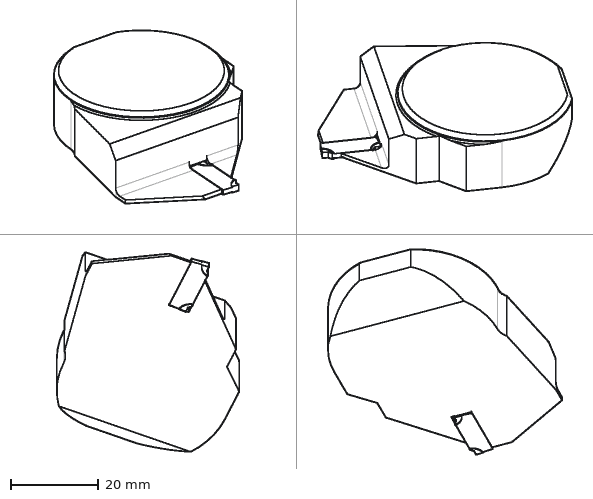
import cadquery as cq
import math

drum_radius = 20.05
drum_height = 14.0
cap_radius = 20.0
cap_base = 12.9
flat_x = -19.05
top_chamfer = 1.0
underside_chamfer = 7.5
collar_radius = 0.4

block_top = 12.35
bevel_start_x = 21.25
bevel_drop = 2.8
wall_x = 24.35
cove_radius = 1.5
plate_top = 0.95
plate_end_x = 37.3
plate_end_relief = 0.3

shoulder_y = 14.75
shoulder_end_x = 18.9
slant_end_x = 33.75
plate_corner_y = -9.05
front_y = -24.95
front_end_x = 28.15
neck_x = 3.15
neck_radius = 4.9

blade_center_x = 31.1
blade_back_y = 0.75
blade_front_y = -4.2
blade_top = 1.1
blade_bottom = -0.15
tip_rise = 0.15
tip_half_length = 6.85
heel_half_length = 6.55
tip_y = 0.0
notch_half_length = 5.55
back_half_length = 4.75

tip_top = blade_top + tip_rise
tip_bottom = blade_bottom - tip_rise


def box(x_min, x_max, y_min, y_max, z_min, z_max):
    size = (x_max - x_min, y_max - y_min, z_max - z_min)
    return cq.Workplane("XY").box(*size, centered=False).translate((x_min, y_min, z_min))


def make_plan():
    """Outline of the housing in plan, extruded to the full height."""
    drum = cq.Workplane("XY").circle(drum_radius).extrude(drum_height)
    neck_angle = math.asin(neck_x / neck_radius)
    neck_center_y = -drum_radius - neck_radius
    neck_end = (neck_x, neck_center_y + neck_radius * math.cos(neck_angle))
    neck_middle = (
        neck_radius * math.sin(neck_angle / 2),
        neck_center_y + neck_radius * math.cos(neck_angle / 2),
    )
    tangent_sum = drum_radius * math.sqrt(2)
    side = (
        cq.Workplane("XY")
        .moveTo(0, -drum_radius)
        .threePointArc(neck_middle, neck_end)
        .lineTo(wall_x, front_y)
        .lineTo(front_end_x, front_y)
        .lineTo(plate_end_x, plate_corner_y)
        .lineTo(plate_end_x, blade_back_y)
        .lineTo(slant_end_x, blade_back_y)
        .lineTo(shoulder_end_x, shoulder_y)
        .lineTo(tangent_sum - shoulder_y, shoulder_y)
        .lineTo(tangent_sum - drum_radius, drum_radius)
        .lineTo(0, drum_radius)
        .close()
        .extrude(drum_height)
    )
    return drum.union(side)


def make_drum():
    """Drum with its flat, chamfered rim and collar cove."""
    drum = cq.Workplane("XY").circle(drum_radius).extrude(cap_base)
    cap = (
        cq.Workplane("XY", origin=(0, 0, cap_base))
        .circle(cap_radius)
        .extrude(drum_height - cap_base)
        .faces(">Z")
        .chamfer(top_chamfer)
    )
    drum = drum.union(cap)
    flat_cut = (
        cq.Workplane("XZ", origin=(0, drum_radius, 0))
        .moveTo(flat_x, 0)
        .lineTo(flat_x, drum_height - top_chamfer)
        .lineTo(flat_x + top_chamfer, drum_height)
        .lineTo(-2 * drum_radius, drum_height)
        .lineTo(-2 * drum_radius, 0)
        .close()
        .extrude(2 * drum_radius)
    )
    drum = drum.cut(flat_cut)
    bend = collar_radius * (1 - math.sqrt(0.5))
    collar = (
        cq.Workplane("XZ")
        .lineTo(drum_radius + collar_radius, 0)
        .threePointArc((drum_radius + bend, bend), (drum_radius, collar_radius))
        .lineTo(0, collar_radius)
        .close()
        .revolve(360, (0, 0), (0, 1))
        .translate((0, 0, block_top))
    )
    flat_side = box(-2 * drum_radius, 0, -2 * drum_radius, 2 * drum_radius, 0, drum_height)
    return drum.union(collar.cut(flat_side))


def make_block():
    """Side profile of the block, bevel, wall cove and plate."""
    bend = cove_radius * (1 - math.sqrt(0.5))
    width = drum_radius - front_y
    return (
        cq.Workplane("XZ", origin=(0, drum_radius, 0))
        .lineTo(plate_end_x, 0)
        .lineTo(plate_end_x - plate_end_relief, plate_top)
        .lineTo(wall_x + cove_radius, plate_top)
        .threePointArc((wall_x + bend, plate_top + bend), (wall_x, plate_top + cove_radius))
        .lineTo(wall_x, block_top - bevel_drop)
        .lineTo(bevel_start_x, block_top)
        .lineTo(0, block_top)
        .close()
        .extrude(width)
    )


def make_blade_seat():
    """Slot through the plate, running a little way in below the wall."""
    tip_x = blade_center_x - tip_half_length
    under_wall = box(tip_x, plate_end_x, blade_front_y, blade_back_y, tip_bottom, tip_top)
    over_blade = box(wall_x, plate_end_x, blade_front_y, blade_back_y, tip_bottom, block_top)
    return under_wall.union(over_blade)


def make_housing():
    underside_cut = (
        cq.Workplane("XZ", origin=(0, drum_radius, 0))
        .polyline([(flat_x, 0), (flat_x + underside_chamfer, 0), (flat_x, underside_chamfer)])
        .close()
        .extrude(2 * drum_radius)
    )
    body = make_drum().union(make_block()).intersect(make_plan())
    return body.cut(underside_cut).cut(make_blade_seat())


def make_blade():
    """Flat double-ended blade with a thicker cutting tip at each end."""
    right_edge = [
        (heel_half_length, blade_front_y),
        (tip_half_length, tip_y),
        (notch_half_length, tip_y),
        (back_half_length, blade_back_y),
    ]
    left_edge = [(-x, y) for x, y in reversed(right_edge)]
    blade = (
        cq.Workplane("XY", origin=(blade_center_x, 0, blade_bottom))
        .polyline(right_edge + left_edge)
        .close()
        .extrude(blade_top - blade_bottom)
    )
    tip_inner_x = 4.3
    tip_root_y = -1.75
    tip_side_slope = (tip_half_length - heel_half_length) / (tip_y - blade_front_y)
    tip_root_x = heel_half_length + tip_side_slope * (tip_root_y - blade_front_y)
    hollow = (4.8, -0.45)
    for side in (-1, 1):
        tip = (
            cq.Workplane("XY", origin=(blade_center_x, 0, tip_bottom))
            .moveTo(side * tip_inner_x, blade_back_y)
            .lineTo(side * back_half_length, blade_back_y)
            .lineTo(side * notch_half_length, tip_y)
            .lineTo(side * tip_half_length, tip_y)
            .lineTo(side * tip_root_x, tip_root_y)
            .threePointArc((side * hollow[0], hollow[1]), (side * tip_inner_x, blade_back_y))
            .close()
            .extrude(tip_top - tip_bottom)
        )
        blade = blade.union(tip)
    return blade


housing = make_housing().solids()
blade = make_blade().solids()
result = cq.Compound.makeCompound([housing.val(), blade.val()])